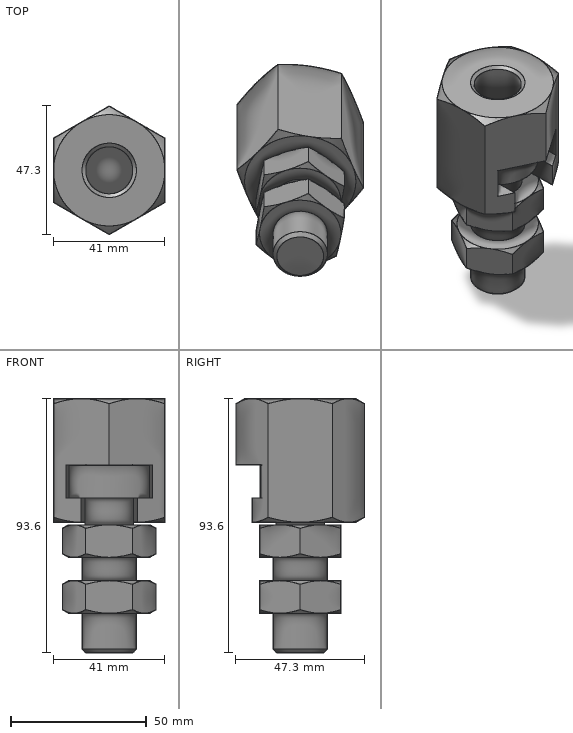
import cadquery as cq
import math

TOTAL_HEIGHT = 93.6
HOUSING_BOTTOM = 48.1
HEX_CHAMFER_ANGLE = 30.0

HOUSING_FLATS = 41.0
BORE_DIAMETER = 17.3
BORE_MOUTH_DIAMETER = 20.0
MOUTH_ANGLE = 30.0
SLOT_FLOOR = 57.1
SLOT_ROOF = 69.3
HEAD_SLOT_WIDTH = 32.0
NECK_SLOT_WIDTH = 20.8

HEAD_DIAMETER = 29.7
HEAD_CLEARANCE = 0.2
NECK_DIAMETER = 18.0
SHANK_DIAMETER = 20.0
SHANK_CHAMFER = 1.4

NUT_FLATS = 29.95
NUT_HEIGHT = 12.0
COLLAR_BOTTOM = 35.2
NUT_BOTTOM = 14.6


def cylinder(diameter, bottom, top):
    """Vertical cylinder on the Z axis between two heights."""
    return cq.Workplane("XY", origin=(0, 0, bottom)).circle(diameter / 2).extrude(top - bottom)


def chamfered_hexagon(flats, bottom, height, turn=0):
    """Hexagonal prism with its corners turned off by a cone at both ends."""
    corner_radius = flats / math.sqrt(3)
    flat_radius = flats / 2
    drop = (corner_radius - flat_radius) * math.tan(math.radians(HEX_CHAMFER_ANGLE))
    prism = cq.Workplane("XY").polygon(6, 2 * corner_radius).extrude(height)
    envelope = (
        cq.Workplane("XZ")
        .moveTo(0, 0)
        .lineTo(flat_radius, 0)
        .lineTo(corner_radius, drop)
        .lineTo(corner_radius, height - drop)
        .lineTo(flat_radius, height)
        .lineTo(0, height)
        .close()
        .revolve(360, (0, 0, 0), (0, 1, 0))
    )
    hexagon = prism.intersect(envelope)
    return hexagon.rotate((0, 0, 0), (0, 0, 1), turn).translate((0, 0, bottom))


def round_ended_slot(width, bottom, top):
    """Slot open toward -Y and ending in a half circle around the Z axis."""
    half_width = width / 2
    return (
        cq.Workplane("XY", origin=(0, 0, bottom))
        .moveTo(-half_width, -HOUSING_FLATS)
        .lineTo(half_width, -HOUSING_FLATS)
        .lineTo(half_width, 0)
        .threePointArc((0, half_width), (-half_width, 0))
        .close()
        .extrude(top - bottom)
    )


def make_housing():
    """Hexagonal housing with corners on the Y axis, bored from above into its T-slot."""
    body = chamfered_hexagon(HOUSING_FLATS, HOUSING_BOTTOM, TOTAL_HEIGHT - HOUSING_BOTTOM, turn=30)
    bore = cylinder(BORE_DIAMETER, SLOT_ROOF, TOTAL_HEIGHT)
    mouth_width = (BORE_MOUTH_DIAMETER - BORE_DIAMETER) / 2
    mouth_depth = mouth_width * math.tan(math.radians(MOUTH_ANGLE))
    bore_edge = body.cut(bore).faces(">Z").edges(cq.selectors.RadiusNthSelector(0))
    bored_body = bore_edge.chamfer(mouth_width, mouth_depth)
    head_slot = round_ended_slot(HEAD_SLOT_WIDTH, SLOT_FLOOR, SLOT_ROOF)
    neck_slot = round_ended_slot(NECK_SLOT_WIDTH, HOUSING_BOTTOM, SLOT_FLOOR)
    return bored_body.cut(head_slot).cut(neck_slot)


def make_stud():
    """Stud whose head rests on the slot floor, with a collar below the housing."""
    shank = cylinder(SHANK_DIAMETER, 0, COLLAR_BOTTOM).faces("<Z").chamfer(SHANK_CHAMFER)
    collar = chamfered_hexagon(NUT_FLATS, COLLAR_BOTTOM, NUT_HEIGHT)
    neck = cylinder(NECK_DIAMETER, COLLAR_BOTTOM + NUT_HEIGHT, SLOT_FLOOR)
    head = cylinder(HEAD_DIAMETER, SLOT_FLOOR, SLOT_ROOF - HEAD_CLEARANCE)
    return shank.union(collar).union(neck).union(head)


def make_lock_nut():
    """Hexagonal nut fitted on the shank."""
    nut = chamfered_hexagon(NUT_FLATS, NUT_BOTTOM, NUT_HEIGHT)
    return nut.cut(cylinder(SHANK_DIAMETER, NUT_BOTTOM, NUT_BOTTOM + NUT_HEIGHT))


housing = make_housing()
stud = make_stud()
lock_nut = make_lock_nut()

result = cq.Compound.makeCompound([housing.val(), stud.val(), lock_nut.val()])